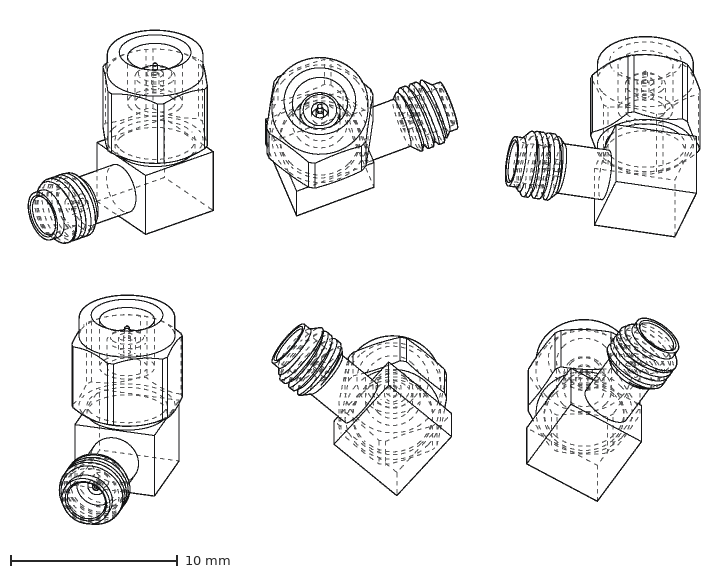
import cadquery as cq
import math


block_side = 5.0
block_height = 4.05
socket_axis_z = block_height / 2

overall_height = 10.55
neck_diameter = 4.79
hex_bottom = 4.54
hex_top = 9.17
hex_sides = 6
hex_across_flats = 6.0
hex_corner_diameter = 6.71
hex_chamfer_angle = 30
collar_diameter = 5.75
collar_edge_radius = 0.2

nut_bore_diameter = 3.3
nut_mouth_diameter = 4.3
nut_mouth_depth = 0.3
plug_diameter = 2.4
plug_face_diameter = 2.0
plug_face_z = 9.1
plug_height = 2.0

insulator_diameter = 1.0
insulator_depth = 1.0
contact_diameter = 0.44
pin_diameter = 0.28
pin_shoulder_z = 9.72
pin_tip_height = 0.14
pin_hole_diameter = 0.22
pin_hole_mouth_diameter = 0.37
pin_hole_depth = 0.58

overall_length = 11.65
socket_reach = overall_length - hex_corner_diameter / 2
tube_diameter = 3.0
thread_diameter = 4.01
thread_length = 2.5
lead_land = 0.5
socket_bore_diameter = 2.4
socket_mouth_diameter = 2.6
socket_bore_depth = 2.0

thread_pitch = 0.7
thread_depth = 0.31
thread_turns = 3.5
thread_flank_angle = 30
thread_overcut = 0.06


def upright_cylinder(diameter, bottom, top):
    """Cylinder about the Z axis between two heights."""
    return cq.Workplane("XY").workplane(offset=bottom).circle(diameter / 2).extrude(top - bottom)


def turned(profile):
    """Solid of revolution about the Z axis from (radius, height) points."""
    return cq.Workplane("XZ").polyline(profile).close().revolve(360, (0, 0), (0, 1))


def make_hex():
    """Hexagon with flats facing +X and -X, and turned corners chamfered at both ends."""
    corner_to_corner = hex_across_flats / math.cos(math.pi / hex_sides)
    hexagon = (
        cq.Workplane("XY")
        .workplane(offset=hex_bottom)
        .transformed(rotate=(0, 0, 90))
        .polygon(hex_sides, corner_to_corner)
        .extrude(hex_top - hex_bottom)
    )
    corner_radius = hex_corner_diameter / 2
    end_radius = collar_diameter / 2
    chamfer_height = (corner_radius - end_radius) * math.tan(math.radians(hex_chamfer_angle))
    envelope = turned([
        (0, hex_bottom),
        (end_radius, hex_bottom),
        (corner_radius, hex_bottom + chamfer_height),
        (corner_radius, hex_top - chamfer_height),
        (end_radius, hex_top),
        (0, hex_top),
    ])
    return hexagon.intersect(envelope)


def make_nut_bore():
    """Bore of the nut with its flared mouth."""
    bore_radius = nut_bore_diameter / 2
    mouth_radius = nut_mouth_diameter / 2
    floor = plug_face_z - plug_height
    return turned([
        (0, floor),
        (bore_radius, floor),
        (bore_radius, overall_height - nut_mouth_depth),
        (mouth_radius, overall_height),
        (0, overall_height),
    ])


def make_nut():
    """Neck, hexagon and round collar, bored from the top."""
    neck = upright_cylinder(neck_diameter, block_height, hex_bottom)
    collar = upright_cylinder(collar_diameter, hex_top, overall_height)
    collar = collar.faces(">Z").edges().fillet(collar_edge_radius)
    return neck.union(make_hex()).union(collar).cut(make_nut_bore())


def make_plug():
    """Chamfered boss with a recessed insulator and a pointed pin."""
    edge_chamfer = (plug_diameter - plug_face_diameter) / 2
    boss = upright_cylinder(plug_diameter, plug_face_z - plug_height, plug_face_z)
    boss = boss.faces(">Z").edges().chamfer(edge_chamfer)
    recess_floor = plug_face_z - insulator_depth
    recess = upright_cylinder(insulator_diameter, recess_floor, plug_face_z)
    contact = upright_cylinder(contact_diameter, recess_floor, plug_face_z)
    pin_radius = pin_diameter / 2
    pin = turned([
        (0, plug_face_z),
        (pin_radius, plug_face_z),
        (pin_radius, pin_shoulder_z),
        (0, pin_shoulder_z + pin_tip_height),
    ])
    return boss.cut(recess).union(contact).union(pin)


def make_thread_groove(start):
    """Right-hand helical V groove about the Z axis, starting on the -X side."""
    root_radius = thread_diameter / 2 - thread_depth
    outer_radius = thread_diameter / 2 + thread_overcut
    half_width = (outer_radius - root_radius) * math.tan(math.radians(thread_flank_angle))
    helix = cq.Wire.makeHelix(thread_pitch, thread_pitch * thread_turns, root_radius)
    groove = (
        cq.Workplane("XZ")
        .polyline([(root_radius, 0), (outer_radius, half_width), (outer_radius, -half_width)])
        .close()
        .sweep(cq.Workplane(obj=helix), isFrenet=True)
    )
    return groove.rotate((0, 0, 0), (0, 0, 1), 180).translate((0, 0, start))


def make_socket_body():
    """Tube with a chamfered threaded ring, standing along Z from the block centre."""
    tube_radius = tube_diameter / 2
    ring_radius = thread_diameter / 2
    ring_chamfer = ring_radius - tube_radius
    ring_end = socket_reach - lead_land
    ring_start = ring_end - thread_length
    groove_start = ring_start + (thread_length - thread_pitch * thread_turns) / 2
    ring = upright_cylinder(thread_diameter, ring_start, ring_end)
    ring = ring.cut(make_thread_groove(groove_start))
    ring_outline = turned([
        (0, ring_start),
        (tube_radius, ring_start),
        (ring_radius, ring_start + ring_chamfer),
        (ring_radius, ring_end - ring_chamfer),
        (tube_radius, ring_end),
        (0, ring_end),
    ])
    tube = upright_cylinder(tube_diameter, 0, socket_reach)
    return tube.union(ring.intersect(ring_outline))


def make_socket_cavity():
    """Socket bore, insulator recess and drilled contact, in the standing position."""
    bore_floor = socket_reach - socket_bore_depth
    recess_floor = bore_floor - insulator_depth
    mouth_chamfer = (socket_mouth_diameter - socket_bore_diameter) / 2
    hole_chamfer = (pin_hole_mouth_diameter - pin_hole_diameter) / 2
    bore_radius = socket_bore_diameter / 2
    bore = turned([
        (0, bore_floor),
        (bore_radius, bore_floor),
        (bore_radius, socket_reach - mouth_chamfer),
        (socket_mouth_diameter / 2, socket_reach),
        (0, socket_reach),
    ])
    recess = upright_cylinder(insulator_diameter, recess_floor, bore_floor)
    contact = upright_cylinder(contact_diameter, recess_floor, bore_floor)
    hole_radius = pin_hole_diameter / 2
    pin_hole = turned([
        (0, bore_floor - pin_hole_depth),
        (hole_radius, bore_floor - pin_hole_depth),
        (hole_radius, bore_floor - hole_chamfer),
        (pin_hole_mouth_diameter / 2, bore_floor),
        (0, bore_floor),
    ])
    return bore.union(recess.cut(contact)).union(pin_hole)


def lay_along_minus_y(shape):
    """Turn a shape standing along Z to point along -Y on the socket axis."""
    return shape.rotate((0, 0, 0), (1, 0, 0), 90).translate((0, 0, socket_axis_z))


block = cq.Workplane("XY").box(block_side, block_side, block_height, centered=(True, True, False))
result = (
    block.union(make_nut())
    .union(make_plug())
    .union(lay_along_minus_y(make_socket_body()))
    .cut(lay_along_minus_y(make_socket_cavity()))
)